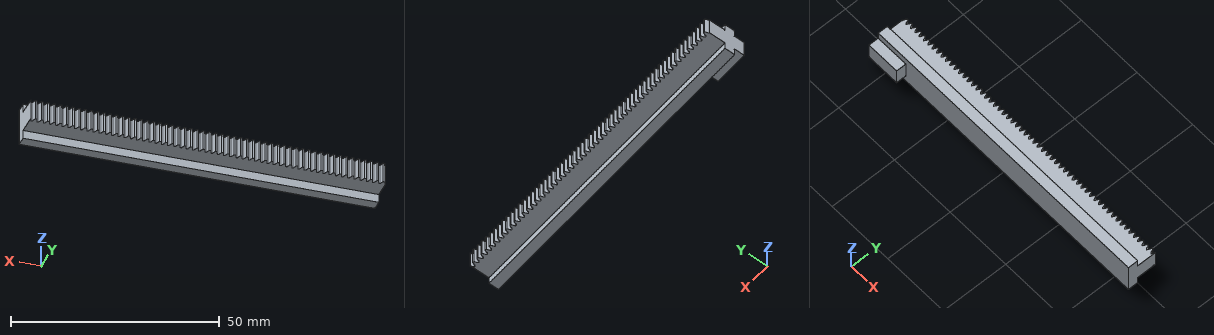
import cadquery as cq
import math

length = 90.0
depth = 11.8
height = 9.6

bar_height = 5.2
rail_width = 3.0
stop_length = 10.0
stop_depth = 3.0

module = length / 180
pitch = math.pi * module
pressure_angle = math.radians(20)
addendum = 0.95 * module
dedendum = 1.25 * module
root_radius = 0.16
first_tooth_x = 0.7

rail_front_y = stop_depth
pitch_line_y = depth - addendum
root_y = pitch_line_y - dedendum


def block(x_size, y_start, y_end, z_size):
    """Box starting at X = 0 and centred on Z = 0."""
    y_size = y_end - y_start
    box = cq.Workplane("XY").box(x_size, y_size, z_size, centered=(False, False, True))
    return box.translate((0, y_start, 0))


def half_gap(y):
    """Half the width of the gap between two teeth at the given Y."""
    return pitch / 4 + (y - pitch_line_y) * math.tan(pressure_angle)


def gap_cutter():
    """Tapered cutter for the gap at X = 0, with a rounded root, reaching past the tooth tips."""
    outer_y = depth + addendum / 2
    root = half_gap(root_y)
    outer = half_gap(outer_y)
    return (
        cq.Workplane("XY", origin=(0, 0, -bar_height / 2))
        .polyline([(-root, root_y), (root, root_y), (outer, outer_y), (-outer, outer_y)])
        .close()
        .extrude(bar_height)
        .edges("|Z and <Y")
        .fillet(root_radius)
    )


def cut_teeth(body):
    """Cut every gap that reaches into the bar, including the partial ones at its ends."""
    first_gap_x = first_tooth_x - pitch / 2
    gap_count = math.ceil((length - first_gap_x + half_gap(depth)) / pitch)
    cutter = gap_cutter()
    cutters = [cutter.val().translate(cq.Vector(first_gap_x + i * pitch, 0, 0)) for i in range(gap_count)]
    return body.cut(cq.Workplane(cq.Compound.makeCompound(cutters)))


bar = block(length, rail_front_y, depth, bar_height)
rails = block(length, rail_front_y, rail_front_y + rail_width, height)
stop = block(stop_length, 0, rail_front_y, bar_height)

result = cut_teeth(bar).union(rails).union(stop)